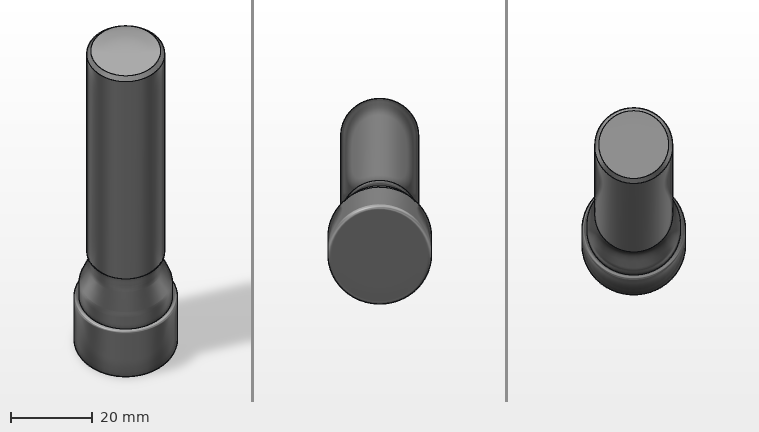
import cadquery as cq
import math

total_length = 101.6

head_radius = 12.7
head_length = 16.1
head_bottom_fillet = 1.0
head_top_fillet = 0.6

shank_radius = 9.5
shank_start = 31.3
shank_top_chamfer = 1.0
shank_bottom_chamfer = 0.3

neck_radius = 9.0
neck_fillet_width = shank_radius - shank_bottom_chamfer - neck_radius
neck_fillet_height = 0.5
shoulder_radius = 11.5
shoulder_end = 20.1

cone_angle = math.radians(20)
shoulder_blend_radius = 4.5
neck_blend_radius = 5.0


def blend_offset(radius, angle):
    """Radial and axial distance covered by an arc that starts parallel to Z."""
    return radius * (1 - math.cos(angle)), radius * math.sin(angle)


shoulder_blend_width, shoulder_blend_height = blend_offset(shoulder_blend_radius, cone_angle)
shoulder_mid_width, shoulder_mid_height = blend_offset(shoulder_blend_radius, cone_angle / 2)
neck_blend_width, neck_blend_height = blend_offset(neck_blend_radius, cone_angle)
neck_mid_width, neck_mid_height = blend_offset(neck_blend_radius, cone_angle / 2)

cone_bottom = shoulder_end + shoulder_blend_height
cone_bottom_radius = shoulder_radius - shoulder_blend_width
cone_top_radius = neck_radius + neck_blend_width
cone_top = cone_bottom + (cone_bottom_radius - cone_top_radius) / math.tan(cone_angle)
neck_start = cone_top + neck_blend_height


def make_head():
    """Cylinder with rounded lower and upper rims."""
    head = cq.Workplane("XY").circle(head_radius).extrude(head_length)
    head = head.faces("<Z").edges().fillet(head_bottom_fillet)
    return head.faces(">Z").edges().fillet(head_top_fillet)


def make_holder():
    """Shoulder, blended cone, neck and shank, revolved as one solid about Z."""
    profile = (
        cq.Workplane("XZ")
        .moveTo(0, head_length)
        .lineTo(shoulder_radius, head_length)
        .lineTo(shoulder_radius, shoulder_end)
        .threePointArc(
            (shoulder_radius - shoulder_mid_width, shoulder_end + shoulder_mid_height),
            (cone_bottom_radius, cone_bottom),
        )
        .lineTo(cone_top_radius, cone_top)
        .threePointArc(
            (neck_radius + neck_mid_width, neck_start - neck_mid_height),
            (neck_radius, neck_start),
        )
        .lineTo(neck_radius, shank_start - neck_fillet_height)
        .tangentArcPoint((neck_radius + neck_fillet_width, shank_start), relative=False)
        .lineTo(shank_radius, shank_start + shank_bottom_chamfer)
        .lineTo(shank_radius, total_length - shank_top_chamfer)
        .lineTo(shank_radius - shank_top_chamfer, total_length)
        .lineTo(0, total_length)
        .close()
    )
    return profile.revolve(360, (0, 0, 0), (0, 1, 0))


head = make_head()
holder = make_holder()

result = cq.Compound.makeCompound([head.val(), holder.val()])